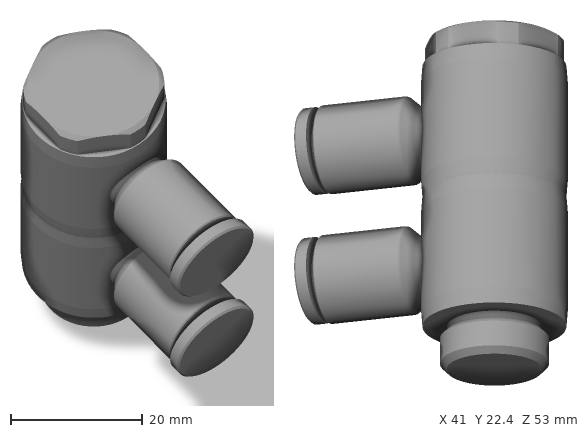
import cadquery as cq
import math

module_count = 2
module_height = 21.0
body_radius = 11.2
body_end_radius = 11.0
taper_height = 2.5

stud_radius = 8.35
stud_chamfer = 1.0
thread_top = 5.0
neck_radius = 7.25
body_bottom = 7.0
neck_fillet = 0.8

hex_across_flats = 20.0
hex_corner_radius = 10.8
hex_height = 4.0
hex_chamfer_angle = 30.0

port_neck_radius = 5.0
cone_start = 11.3
cone_end = 13.3
cone_root_fillet = 0.8
sleeve_radius = 6.825
sleeve_fillet = 0.8
sleeve_end = 27.0
sleeve_end_chamfer = 0.2
collar_radius = 4.8
ring_start = 27.8
ring_end = 29.8
ring_half_width = 7.5
ring_half_height = 6.55
ring_chamfer = 0.3

body_top = body_bottom + module_count * module_height


def make_stud():
    """Chamfered plug with a narrow neck running up to the body.

    A 45 degree cone leads from the thread to the neck and blends into it.
    """
    cone_angle = math.radians(45)
    neck_bottom = thread_top + stud_radius - neck_radius
    setback = neck_fillet * math.tan(cone_angle / 2)
    profile = (
        cq.Workplane("XZ")
        .lineTo(stud_radius - stud_chamfer, 0)
        .lineTo(stud_radius, stud_chamfer)
        .lineTo(stud_radius, thread_top)
        .lineTo(neck_radius + setback * math.cos(cone_angle), neck_bottom - setback * math.sin(cone_angle))
        .tangentArcPoint((neck_radius, neck_bottom + setback), relative=False)
        .lineTo(neck_radius, body_bottom)
        .lineTo(0, body_bottom)
        .close()
    )
    return profile.revolve(360, (0, 0, 0), (0, 1, 0))


def make_module(bottom):
    """Cylindrical module that tapers slightly at both ends."""
    top = bottom + module_height
    profile = (
        cq.Workplane("XZ")
        .moveTo(0, bottom)
        .lineTo(body_end_radius, bottom)
        .lineTo(body_radius, bottom + taper_height)
        .lineTo(body_radius, top - taper_height)
        .lineTo(body_end_radius, top)
        .lineTo(0, top)
        .close()
    )
    return profile.revolve(360, (0, 0, 0), (0, 1, 0))


def make_hex_head():
    """Hexagon with flats facing +Y and -Y, corners turned round and top edge bevelled."""
    across_corners = hex_across_flats / math.cos(math.radians(30))
    hexagon = (
        cq.Workplane("XY")
        .workplane(offset=body_top)
        .polygon(6, across_corners)
        .extrude(hex_height)
    )

    top = body_top + hex_height
    flat_radius = hex_across_flats / 2
    bevel_height = (hex_corner_radius - flat_radius) * math.tan(math.radians(hex_chamfer_angle))
    turned_blank = (
        cq.Workplane("XZ")
        .moveTo(0, body_top)
        .lineTo(hex_corner_radius, body_top)
        .lineTo(hex_corner_radius, top - bevel_height)
        .lineTo(flat_radius, top)
        .lineTo(0, top)
        .close()
        .revolve(360, (0, 0, 0), (0, 1, 0))
    )
    return hexagon.intersect(turned_blank)


def make_port(height):
    """Tube connector: conical shoulder, sleeve, collar and oval release ring."""
    cone_slope = math.atan2(sleeve_radius - port_neck_radius, cone_end - cone_start)
    along = math.cos(cone_slope)
    outward = math.sin(cone_slope)
    root_setback = cone_root_fillet * math.tan(cone_slope / 2)
    shoulder_setback = sleeve_fillet * math.tan(cone_slope / 2)

    sleeve = (
        cq.Workplane("XZ")
        .lineTo(0, port_neck_radius)
        .lineTo(cone_start - root_setback, port_neck_radius)
        .tangentArcPoint(
            (cone_start + root_setback * along, port_neck_radius + root_setback * outward),
            relative=False,
        )
        .lineTo(cone_end - shoulder_setback * along, sleeve_radius - shoulder_setback * outward)
        .tangentArcPoint((cone_end + shoulder_setback, sleeve_radius), relative=False)
        .lineTo(sleeve_end - sleeve_end_chamfer, sleeve_radius)
        .lineTo(sleeve_end, sleeve_radius - sleeve_end_chamfer)
        .lineTo(sleeve_end, collar_radius)
        .lineTo(ring_start, collar_radius)
        .lineTo(ring_start, 0)
        .close()
        .revolve(360, (0, 0, 0), (1, 0, 0))
    )
    ring = (
        cq.Workplane("YZ")
        .workplane(offset=ring_start)
        .ellipse(ring_half_width, ring_half_height)
        .extrude(ring_end - ring_start)
        .faces(">X")
        .chamfer(ring_chamfer)
    )
    return sleeve.union(ring).translate((0, 0, height))


result = make_stud().union(make_hex_head())
for index in range(module_count):
    module_bottom = body_bottom + index * module_height
    result = result.union(make_module(module_bottom))
    result = result.union(make_port(module_bottom + module_height / 2))